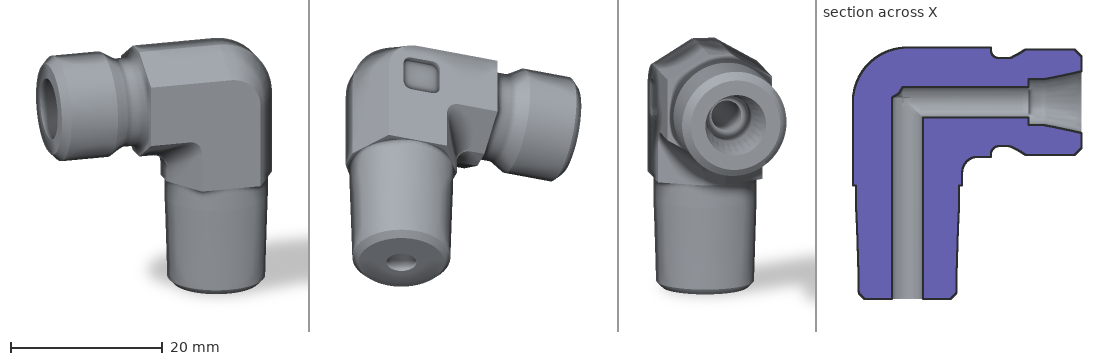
import cadquery as cq
import math


body_width = 14.0
half_width = body_width / 2
crown_half_height = 7.25
crown_half_flat = 1.45
slope_angle = math.radians(30)
shoulder_height = crown_half_height - (half_width - crown_half_flat) * math.tan(slope_angle)
arm_length = 11.03
inner_fillet = 2.0
selection_margin = 0.33

inlet_end = 25.98
inlet_radius = 13.62 / 2
inlet_straight_end = 14.1
inlet_chamfer_height = 0.8
inlet_chamfer_width = 0.8
taper_per_side = 1 / 32

outlet_end = 23.0
outlet_radius = body_width / 2
neck_radius = 11.7 / 2
neck_end = 13.6
neck_fillet = 1.0
neck_cone_angle = math.radians(30)
neck_blend_radius = neck_fillet
outlet_chamfer = 1.0

bore_radius = 2.0
drill_tip_angle = math.radians(59)
bore_tip_start = 0.6
seat_radius = 6.0 / 2
seat_mouth_radius = 4.05
seat_cone_angle = math.radians(12)
seat_depth = 7.0

badge_size = 5.05
badge_center = -0.53
badge_corner = 1.1
badge_depth = 0.9


def section_points():
    """Octagonal arm section as (across, height) pairs."""
    upper = [
        (half_width, shoulder_height),
        (crown_half_flat, crown_half_height),
        (-crown_half_flat, crown_half_height),
        (-half_width, shoulder_height),
    ]
    return upper + [(-x, -h) for x, h in upper]


def make_body():
    points = section_points()
    outlet_arm = cq.Workplane("XZ").polyline(points).close().extrude(arm_length)
    inlet_arm = cq.Workplane("XY").polyline(points).close().extrude(-arm_length)
    upper_half = points[:4] + [(-half_width, 0), (half_width, 0)]
    outer_corner = (
        cq.Workplane("XZ").polyline(upper_half).close().revolve(90, (0, 0, 0), (-1, 0, 0))
    )
    body = outlet_arm.union(inlet_arm).union(outer_corner)
    reach = crown_half_height + selection_margin
    inner_limit = shoulder_height + selection_margin
    side_limit = half_width - selection_margin
    inside = cq.selectors.BoxSelector(
        (-side_limit, -reach, -reach),
        (side_limit, -inner_limit, -inner_limit),
    )
    return body.edges(inside).fillet(inner_fillet)


def make_inlet():
    taper_end = inlet_end - inlet_chamfer_height
    tip_radius = inlet_radius - (taper_end - inlet_straight_end) * taper_per_side
    return (
        cq.Workplane("XZ")
        .moveTo(0, -arm_length)
        .lineTo(inlet_radius, -arm_length)
        .lineTo(inlet_radius, -inlet_straight_end)
        .lineTo(tip_radius, -taper_end)
        .lineTo(tip_radius - inlet_chamfer_width, -inlet_end)
        .lineTo(0, -inlet_end)
        .close()
        .revolve(360, (0, 0, 0), (0, 1, 0))
    )


def make_outlet():
    """Outlet stub whose undercut blends by arcs into the body face and the cone."""
    blend_start = neck_end - neck_blend_radius * math.tan(neck_cone_angle / 2)
    arc_center_radius = neck_radius + neck_blend_radius

    def blend_point(angle):
        return (
            arc_center_radius - neck_blend_radius * math.cos(angle),
            -blend_start - neck_blend_radius * math.sin(angle),
        )

    cone_end = neck_end + (outlet_radius - neck_radius) / math.tan(neck_cone_angle)
    fillet_mid = neck_fillet * (1 - math.sqrt(0.5))
    return (
        cq.Workplane("XY")
        .moveTo(0, -arm_length)
        .lineTo(neck_radius + neck_fillet, -arm_length)
        .threePointArc(
            (neck_radius + fillet_mid, -arm_length - fillet_mid),
            (neck_radius, -arm_length - neck_fillet),
        )
        .lineTo(neck_radius, -blend_start)
        .threePointArc(blend_point(neck_cone_angle / 2), blend_point(neck_cone_angle))
        .lineTo(outlet_radius, -cone_end)
        .lineTo(outlet_radius, -outlet_end + outlet_chamfer)
        .lineTo(outlet_radius - outlet_chamfer, -outlet_end)
        .lineTo(0, -outlet_end)
        .close()
        .revolve(360, (0, 0, 0), (0, 1, 0))
    )


def make_bore(plane, depth):
    """Drilled hole with a pointed end just past the elbow center."""
    tip = bore_tip_start + bore_radius / math.tan(drill_tip_angle)
    profile = [(0, -depth), (bore_radius, -depth), (bore_radius, bore_tip_start), (0, tip)]
    return cq.Workplane(plane).polyline(profile).close().revolve(360, (0, 0, 0), (0, 1, 0))


def make_tube_seat():
    """Conical mouth leading into a short straight tube socket."""
    cone_depth = (seat_mouth_radius - seat_radius) / math.tan(seat_cone_angle)
    profile = [
        (0, -outlet_end),
        (seat_mouth_radius, -outlet_end),
        (seat_radius, -outlet_end + cone_depth),
        (seat_radius, -outlet_end + seat_depth),
        (0, -outlet_end + seat_depth),
    ]
    return cq.Workplane("XY").polyline(profile).close().revolve(360, (0, 0, 0), (0, 1, 0))


def make_badge_recess():
    return (
        cq.Workplane("YZ", origin=(-half_width, 0, 0))
        .center(badge_center, badge_center)
        .rect(badge_size, badge_size)
        .extrude(badge_depth)
        .edges("|X")
        .fillet(badge_corner)
    )


result = (
    make_body()
    .union(make_inlet())
    .union(make_outlet())
    .cut(make_bore("XZ", inlet_end))
    .cut(make_bore("XY", outlet_end))
    .cut(make_tube_seat())
    .cut(make_badge_recess())
)